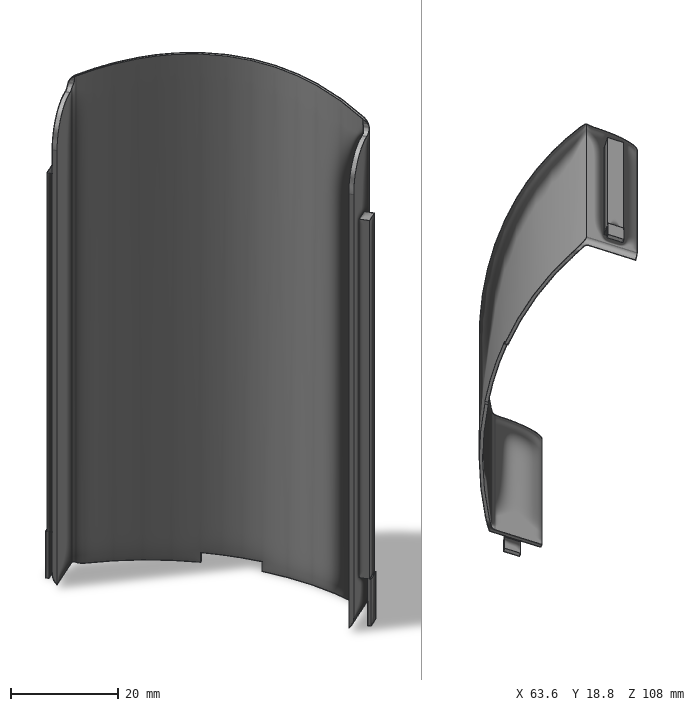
import cadquery as cq
import math

HEIGHT = 108.0
DEPTH = 18.8
COVER_WIDTH = 59.0
SHELL_THICKNESS = 0.6
WALL_THICKNESS = 1.0
CROWN_RISE = 8.9
INNER_FILLET = 1.1
TOP_ARC_RISE = 5.0
TOP_CORNER_RADIUS = 2.0
BOTTOM_CORNER_RADIUS = 3.0

SHOULDER_DROP = 7.0
SHOULDER_RADIUS = 8.1
NECK_RADIUS = 1.7

NOTCH_WIDTH = 12.0
NOTCH_HEIGHT = 2.0

OVERALL_WIDTH = 63.6
RAIL_PROJECTION = 2.0
RAIL_DEPTH = 3.1
RAIL_FRONT_GAP = 3.3
RAIL_BOTTOM = 9.9
RAIL_TOP = 86.0
TAB_THICKNESS = 0.6

half_width = COVER_WIDTH / 2
inner_half_width = half_width - WALL_THICKNESS
open_edge_y = -DEPTH
wall_top_y = -CROWN_RISE
outer_radius = (half_width**2 + CROWN_RISE**2) / (2 * CROWN_RISE)
inner_radius = outer_radius - SHELL_THICKNESS
inner_corner_y = math.sqrt(inner_radius**2 - inner_half_width**2) - outer_radius


def channel():
    """Plan section of shell and walls, extruded to the full height."""
    section = (
        cq.Workplane("XY")
        .moveTo(-half_width, open_edge_y)
        .lineTo(-half_width, wall_top_y)
        .threePointArc((0, 0), (half_width, wall_top_y))
        .lineTo(half_width, open_edge_y)
        .lineTo(inner_half_width, open_edge_y)
        .lineTo(inner_half_width, inner_corner_y)
        .threePointArc((0, -SHELL_THICKNESS), (-inner_half_width, inner_corner_y))
        .lineTo(-inner_half_width, open_edge_y)
        .close()
    )
    body = section.extrude(HEIGHT)
    for side in (-1, 1):
        corner = cq.selectors.NearestToPointSelector((side * inner_half_width, inner_corner_y, HEIGHT / 2))
        body = body.edges("|Z").edges(corner).fillet(INNER_FILLET)
    return body


def front_outline():
    """Block with the arched top and rounded corners that trims the channel."""
    side_top = HEIGHT - TOP_ARC_RISE
    block = (
        cq.Workplane("XZ")
        .moveTo(-half_width, 0)
        .lineTo(-half_width, side_top)
        .threePointArc((0, HEIGHT), (half_width, side_top))
        .lineTo(half_width, 0)
        .close()
        .extrude(DEPTH)
    )
    block = block.edges("|Y").edges(">Z").fillet(TOP_CORNER_RADIUS)
    return block.edges("|Y").edges("<Z").fillet(BOTTOM_CORNER_RADIUS)


def shoulder_cutter():
    """Space above the wall shoulders, running across both walls."""
    shoulder_z = HEIGHT - SHOULDER_DROP
    diagonal = math.sqrt(0.5)
    shoulder_y = open_edge_y + SHOULDER_RADIUS
    neck_y = wall_top_y - NECK_RADIUS
    shoulder_mid = (
        shoulder_y - SHOULDER_RADIUS * diagonal,
        shoulder_z - SHOULDER_RADIUS * (1 - diagonal),
    )
    neck_mid = (
        neck_y + NECK_RADIUS * diagonal,
        shoulder_z + NECK_RADIUS * (1 - diagonal),
    )
    return (
        cq.Workplane("YZ")
        .moveTo(open_edge_y, HEIGHT)
        .lineTo(open_edge_y, shoulder_z - SHOULDER_RADIUS)
        .threePointArc(shoulder_mid, (shoulder_y, shoulder_z))
        .lineTo(neck_y, shoulder_z)
        .threePointArc(neck_mid, (wall_top_y, shoulder_z + NECK_RADIUS))
        .lineTo(wall_top_y, HEIGHT)
        .close()
        .extrude(half_width, both=True)
    )


def notch_cutter():
    """Rectangular notch through the middle of the bottom edge."""
    return cq.Workplane("XY").box(NOTCH_WIDTH, 2 * DEPTH, 2 * NOTCH_HEIGHT)


def make_cover():
    return channel().intersect(front_outline()).cut(shoulder_cutter()).cut(notch_cutter())


def make_rail(side):
    """Rail lying on one wall; side is -1 for the -X wall and 1 for the +X wall."""
    rail_y = open_edge_y + RAIL_FRONT_GAP
    rail_outer = half_width + RAIL_PROJECTION
    tab_outer = OVERALL_WIDTH / 2
    tab_inner = tab_outer - TAB_THICKNESS
    outline = [
        (half_width, RAIL_BOTTOM),
        (tab_inner, RAIL_BOTTOM),
        (tab_inner, 0),
        (tab_outer, 0),
        (tab_outer, RAIL_BOTTOM),
        (rail_outer, RAIL_BOTTOM),
        (rail_outer, RAIL_TOP),
        (half_width, RAIL_TOP),
    ]
    return (
        cq.Workplane("XZ", origin=(0, rail_y, 0))
        .polyline([(side * x, z) for x, z in outline])
        .close()
        .extrude(-RAIL_DEPTH)
    )


cover = make_cover()
rails = [make_rail(side) for side in (-1, 1)]

result = cq.Compound.makeCompound([cover.solids().val(), *[rail.val() for rail in rails]])